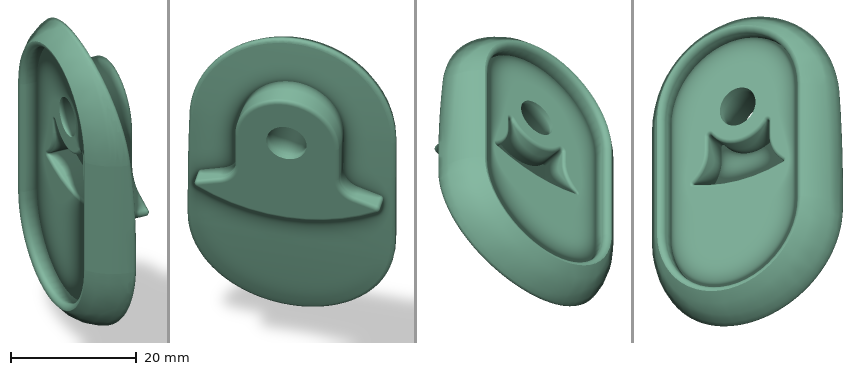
import cadquery as cq
import math


upper_center_z = 10.6
lower_center_z = -9.55
front_radius = 13.25
outer_radius = 16.95
widest_depth = 7.15
back_arc_radius = 158.9
back_crest_z = -6.9
back_crest_depth = 7.5
rim_fillet = 0.65

recess_radius = 12.25
recess_depth = 2.8
recess_mouth_fillet = 0.95
hole_z = 10.9
hole_radius = 3.3

bell_half_width = 6.15
bell_top_radius = 5.65
bell_top_half_span = 4.25
bell_bottom_z = -2.6
bell_bottom_radius = 27.55
bell_tip_x = 9.45
bell_flank_end_angle = 42.0
bell_depth = 4.55
bell_mouth_fillet = 0.55
bell_shoulder_fillet = 0.85
bell_tip_fillet = 0.65

boss_wall = 2.35
boss_back = 10.55
boss_tip_x = 16.05
boss_flank_end_angle = 15.0
boss_tip_fillet = 0.65
boss_edge_fillet = 0.65

flank_z = 4.6
bell_flank_radius = 5.8
flank_center_x = bell_half_width + bell_flank_radius


def mirror_x(point):
    return (-point[0], point[1])


def front_plane(depth):
    """Sketch plane facing +Y; its local x is -X, harmless for symmetric outlines."""
    return cq.Workplane("XZ", origin=(0, depth, 0)).transformed(rotate=(0, 180, 0))


def stadium(radius, length):
    height = upper_center_z - lower_center_z
    middle_z = (upper_center_z + lower_center_z) / 2
    return (
        front_plane(0)
        .center(0, middle_z)
        .slot2D(height + 2 * radius, 2 * radius, 90)
        .extrude(length)
    )


def cylinder_at_hole(radius, start, end):
    return front_plane(start).center(0, hole_z).circle(radius).extrude(end - start)


def flank_point(radius, angle):
    """Point on the +X flank circle, angle measured from its lowest point toward -X."""
    turn = math.radians(angle)
    return (flank_center_x - radius * math.sin(turn), flank_z - radius * math.cos(turn))


def add_flared_base(sketch, flank_radius, end_angle, tip_x, bottom_z, bottom_radius):
    """From the +X flank start, around the flared base, to the -X flank start."""
    flank_start = flank_point(flank_radius, 90)
    flank_middle = flank_point(flank_radius, (90 + end_angle) / 2)
    flank_end = flank_point(flank_radius, end_angle)
    arc_rise = bottom_radius - math.sqrt(bottom_radius**2 - tip_x**2)
    tip = (tip_x, bottom_z + arc_rise)
    return (
        sketch.threePointArc(flank_middle, flank_end)
        .lineTo(*tip)
        .threePointArc((0, bottom_z), mirror_x(tip))
        .lineTo(*mirror_x(flank_end))
        .threePointArc(mirror_x(flank_middle), mirror_x(flank_start))
    )


def fillet_corners(solid, x_min, x_max, z_min, z_max, radius):
    """Round the edges along Y whose positions lie in the box and its mirror image."""
    depth = 2 * boss_back
    right = cq.selectors.BoxSelector((x_min, -depth, z_min), (x_max, depth, z_max))
    left = cq.selectors.BoxSelector((-x_max, -depth, z_min), (-x_min, depth, z_max))
    return solid.edges("|Y").edges(right + left).fillet(radius)


def make_body():
    inset = outer_radius - front_radius
    side_radius = (inset**2 + widest_depth**2) / (2 * inset)
    side_center = outer_radius - side_radius

    def side_point(depth):
        return (side_center + math.sqrt(side_radius**2 - (depth - widest_depth) ** 2), depth)

    blank_depth = back_crest_depth + 0.55
    middle = side_point(blank_depth / 2)
    edge = side_point(blank_depth)
    half_profile = (
        cq.Workplane("XY")
        .lineTo(front_radius, 0)
        .threePointArc(middle, edge)
        .lineTo(0, blank_depth)
        .close()
    )
    round_end = half_profile.revolve(360, (0, 0), (0, 1))
    upper_end = round_end.translate((0, 0, upper_center_z))
    lower_end = round_end.translate((0, 0, lower_center_z))
    straight = (
        cq.Workplane("XY", origin=(0, 0, lower_center_z))
        .moveTo(-front_radius, 0)
        .lineTo(front_radius, 0)
        .threePointArc(middle, edge)
        .lineTo(*mirror_x(edge))
        .threePointArc(mirror_x(middle), (-front_radius, 0))
        .close()
        .extrude(upper_center_z - lower_center_z)
    )
    bow = (
        cq.Workplane("YZ", origin=(-2 * outer_radius, 0, 0))
        .center(back_crest_depth - back_arc_radius, back_crest_z)
        .circle(back_arc_radius)
        .extrude(4 * outer_radius)
    )
    body = straight.union(upper_end).union(lower_end).intersect(bow)
    return body.faces(">Y").edges().fillet(rim_fillet)


def make_boss():
    barrel_radius = flank_center_x - (bell_flank_radius - boss_wall)
    skirt = front_plane(recess_depth).moveTo(-barrel_radius, hole_z)
    skirt = skirt.lineTo(barrel_radius, hole_z).lineTo(barrel_radius, flank_z)
    skirt = add_flared_base(
        skirt,
        bell_flank_radius - boss_wall,
        boss_flank_end_angle,
        boss_tip_x,
        bell_bottom_z - boss_wall,
        bell_bottom_radius + boss_wall,
    )
    skirt = skirt.close().extrude(boss_back - recess_depth)
    skirt = fillet_corners(skirt, boss_tip_x - 0.55, boss_tip_x + 0.55, -5.3, flank_z, boss_tip_fillet)
    barrel = cylinder_at_hole(barrel_radius, recess_depth, boss_back)
    boss = skirt.union(barrel).clean()
    return boss.faces(">Y").edges().fillet(boss_edge_fillet)


def make_bell_pocket():
    arc_end_z = hole_z - math.sqrt(bell_top_radius**2 - bell_top_half_span**2)
    arc_end = (bell_top_half_span, arc_end_z)
    slope = bell_top_half_span / (hole_z - arc_end_z)
    shoulder_z = arc_end_z + (bell_half_width - bell_top_half_span) * slope
    shoulder = (bell_half_width, shoulder_z)
    outline = (
        front_plane(recess_depth)
        .moveTo(*mirror_x(arc_end))
        .threePointArc((0, hole_z - bell_top_radius), arc_end)
        .lineTo(*shoulder)
        .lineTo(bell_half_width, flank_z)
    )
    outline = add_flared_base(
        outline, bell_flank_radius, bell_flank_end_angle, bell_tip_x, bell_bottom_z, bell_bottom_radius
    )
    bell = outline.lineTo(*mirror_x(shoulder)).close().extrude(bell_depth)
    bell = fillet_corners(bell, bell_tip_x - 0.55, bell_tip_x + 0.55, -5.3, flank_z, bell_tip_fillet)
    bell = fillet_corners(
        bell, bell_half_width - 0.55, bell_half_width + 0.55, shoulder_z - 0.55, shoulder_z + 0.55, bell_shoulder_fillet
    )
    mouth = bell.faces("<Y").wires().vals()[0]
    walls = mouth.offset2D(-bell_mouth_fillet)
    return front_plane(recess_depth).newObject(walls).toPending().extrude(bell_depth)


body = make_body().cut(stadium(recess_radius, recess_depth))
body = body.faces("<Y").edges(cq.selectors.RadiusNthSelector(0)).fillet(recess_mouth_fillet)
bored = body.union(make_boss()).cut(cylinder_at_hole(hole_radius, 0, boss_back))
pocket = make_bell_pocket()
mouth_zone = cq.selectors.BoxSelector(
    (-bell_tip_x, recess_depth - 0.05, bell_bottom_z - 0.55),
    (bell_tip_x, recess_depth + 0.05, hole_z - hole_radius),
)
result = bored.cut(pocket).edges(mouth_zone).fillet(bell_mouth_fillet)